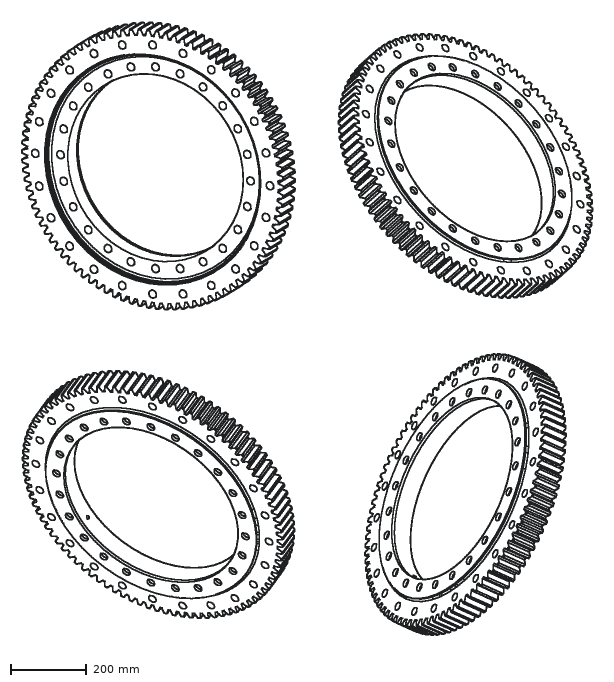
import cadquery as cq
import math


TOTAL_WIDTH = 82.0
FRONT_RECESS = 18.0
BACK_OFFSET = 9.0
CLAMP_WIDTH = 9.0
OUTER_FRONT_Y = -TOTAL_WIDTH / 2
OUTER_BACK_Y = TOTAL_WIDTH / 2 - BACK_OFFSET
INNER_FRONT_Y = OUTER_FRONT_Y + FRONT_RECESS
INNER_BACK_Y = TOTAL_WIDTH / 2
SPLIT_Y = INNER_BACK_Y - CLAMP_WIDTH

TIP_RADIUS = 387.0
ROOT_RADIUS = 370.0
TEETH = 94
ROOT_GAP = 6.0
TIP_GAP = 19.0
TIP_CHAMFER = 2.0

BOLTS = 24
BOLT_DIAMETER = 22.0
OUTER_BOLT_RADIUS = 346.0
INNER_BOLT_RADIUS = 280.0
BORE_RADIUS = 258.5
GREASE_DIAMETER = 9.0
GREASE_Y = (INNER_FRONT_Y + SPLIT_Y) / 2
GREASE_ANGLE = 2.5 * 360 / BOLTS

JOINT_RADIUS = 313.0
STEP_RADIUS = 318.0
STEP_DEPTH = 9.0
STEP_CHAMFER = 1.5
FRONT_LIP_RADIUS = 306.5
BACK_LIP_RADIUS = 318.0
LIP_HEIGHT = 5.0
SEAL_DEPTH = 8.0


def revolved(points):
    """Solid of revolution about Y from an outline of (radius, y) points."""
    return cq.Workplane("XY").polyline(points).close().revolve(360, (0, 0), (0, 1))


def bolt_holes(circle_radius):
    """Cutter for a circle of bolt holes that pass right through along Y."""
    return (
        cq.Workplane("XZ", origin=(0, TOTAL_WIDTH / 2, 0))
        .polarArray(circle_radius, 0, 360, BOLTS)
        .circle(BOLT_DIAMETER / 2)
        .extrude(TOTAL_WIDTH)
    )


def tooth_gaps():
    """Cutter for all the gaps between teeth: straight flanks and a flat floor."""
    cutter_radius = TIP_RADIUS + TIP_CHAMFER
    flank_slope = (TIP_GAP - ROOT_GAP) / (TIP_RADIUS - ROOT_RADIUS)
    cutter_gap = ROOT_GAP + flank_slope * (cutter_radius - ROOT_RADIUS)
    gap = (
        cq.Workplane("XZ", origin=(0, OUTER_BACK_Y, 0))
        .polyline([
            (ROOT_RADIUS, -ROOT_GAP / 2),
            (cutter_radius, -cutter_gap / 2),
            (cutter_radius, cutter_gap / 2),
            (ROOT_RADIUS, ROOT_GAP / 2),
        ])
        .close()
        .extrude(OUTER_BACK_Y - OUTER_FRONT_Y)
        .val()
    )
    pitch_angle = 360 / TEETH
    copies = [gap.rotate((0, 0, 0), (0, 1, 0), (i + 0.5) * pitch_angle) for i in range(TEETH)]
    return cq.Workplane(cq.Compound.makeCompound(copies))


def grease_hole():
    """Cutter for the radial hole from the bore to the joint."""
    return (
        cq.Workplane("YZ", origin=(0, GREASE_Y, 0))
        .circle(GREASE_DIAMETER / 2)
        .extrude(JOINT_RADIUS)
        .rotate((0, 0, 0), (0, 1, 0), GREASE_ANGLE)
    )


def seal(lip_radius, ring_face_y, outward):
    """Seal ring sunk into a ring face, with a sloping lip that rises to the joint.

    lip_radius is where the lip runs out on the ring face; outward is the Y direction (+1 or -1)
    that the face looks.
    """
    seat_y = ring_face_y - outward * SEAL_DEPTH
    return revolved([
        (lip_radius, seat_y),
        (lip_radius, ring_face_y),
        (JOINT_RADIUS, ring_face_y + outward * LIP_HEIGHT),
        (JOINT_RADIUS, seat_y),
    ])


def outer_ring():
    """Geared ring with chamfered tooth tips and a step at the front of its inner edge."""
    step_y = OUTER_FRONT_Y + STEP_DEPTH
    blank = revolved([
        (STEP_RADIUS, OUTER_FRONT_Y),
        (TIP_RADIUS - TIP_CHAMFER, OUTER_FRONT_Y),
        (TIP_RADIUS, OUTER_FRONT_Y + TIP_CHAMFER),
        (TIP_RADIUS, OUTER_BACK_Y - TIP_CHAMFER),
        (TIP_RADIUS - TIP_CHAMFER, OUTER_BACK_Y),
        (JOINT_RADIUS, OUTER_BACK_Y),
        (JOINT_RADIUS, step_y + STEP_CHAMFER),
        (JOINT_RADIUS + STEP_CHAMFER, step_y),
        (STEP_RADIUS, step_y),
    ])
    return blank.cut(tooth_gaps()).cut(bolt_holes(OUTER_BOLT_RADIUS))


def inner_piece(front_y, back_y):
    """Plain ring between the bore and the joint, with its bolt holes."""
    blank = revolved([
        (BORE_RADIUS, front_y),
        (JOINT_RADIUS, front_y),
        (JOINT_RADIUS, back_y),
        (BORE_RADIUS, back_y),
    ])
    return blank.cut(bolt_holes(INNER_BOLT_RADIUS))


front_seal = seal(FRONT_LIP_RADIUS, INNER_FRONT_Y, -1)
back_seal = seal(BACK_LIP_RADIUS, OUTER_BACK_Y, 1)
gear_ring = outer_ring().cut(back_seal)
inner_ring = inner_piece(INNER_FRONT_Y, SPLIT_Y).cut(front_seal).cut(grease_hole())
clamp_ring = inner_piece(SPLIT_Y, INNER_BACK_Y)

result = cq.Compound.makeCompound([
    gear_ring.val(),
    inner_ring.val(),
    clamp_ring.val(),
    front_seal.val(),
    back_seal.val(),
])